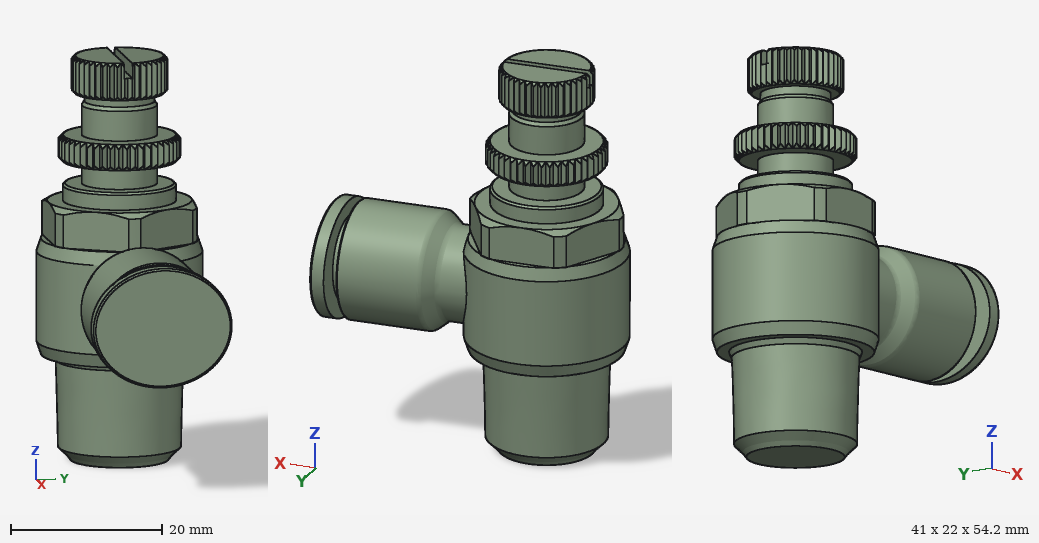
import cadquery as cq
import math

LIP_TOP_Z = 0.65
THREAD_CHAMFER_TOP_Z = 1.75
THREAD_TOP_Z = 13.4
BODY_BOTTOM_Z = 14.2
BODY_TOP_Z = 29.7
HEX_TOP_Z = 34.8
COLLAR_TOP_Z = 37.1
RING_BOTTOM_Z = 40.1
RING_TOP_Z = 43.6
STEM_SHOULDER_Z = 47.6
NECK_BOTTOM_Z = 48.1
HEAD_BOTTOM_Z = 49.2
HEAD_TOP_Z = 54.2

LIP_BOTTOM_RADIUS = 6.5
LIP_TOP_RADIUS = 7.0
THREAD_TIP_RADIUS = 8.15
THREAD_TOP_RADIUS = 8.45
RELIEF_RADIUS = 8.8

BODY_RADIUS = 11.0
BODY_CHAMFER_RADIAL = 0.6
BODY_CHAMFER_AXIAL = 1.75

HEX_ACROSS_FLATS = 19.1
HEX_CORNER_RADIUS = 10.58
HEX_CHAMFER_AXIAL = 0.65

COLLAR_RADIUS = 7.5
COLLAR_CHAMFER = 0.3
STEM_RADIUS = 5.0
NECK_RADIUS = 4.65
RING_RADIUS = 8.08
RING_TEETH = 46
RING_CHAMFER = 0.6
HEAD_RADIUS = 6.35
HEAD_TEETH = 40
HEAD_CHAMFER = 0.5
KNURL_EXTRA_DEPTH = 0.02
SLOT_WIDTH = 1.1
SLOT_DEPTH = 2.0

BRANCH_Z = 23.0
BRANCH_NECK_RADIUS = 6.5
BRANCH_RADIUS = 8.15
BRANCH_CONE_START_X = 13.05
BRANCH_CONE_END_X = 15.05
BRANCH_END_X = 26.7
BRANCH_CONE_FILLET = 1.0
BRANCH_END_CHAMFER = 0.2
SLEEVE_RADIUS = 5.85
FLANGE_START_X = 28.0
FLANGE_END_X = 30.0
FLANGE_WIDTH_Y = 18.6
FLANGE_HEIGHT_Z = 16.0
FLANGE_CHAMFER = 0.25


def turned(profile):
    """Revolve a list of (radius, z) points, closed onto the axis, around Z."""
    points = [(0, profile[0][1])] + profile + [(0, profile[-1][1])]
    return cq.Workplane("XZ").polyline(points).close().revolve(360, (0, 0), (0, 1))


def disc(radius, bottom, top):
    return cq.Workplane("XY").workplane(offset=bottom).circle(radius).extrude(top - bottom)


def make_body():
    """Threaded end and round body as one turned piece."""
    body_end_radius = BODY_RADIUS - BODY_CHAMFER_RADIAL
    return turned([
        (LIP_BOTTOM_RADIUS, 0),
        (LIP_TOP_RADIUS, LIP_TOP_Z),
        (THREAD_TIP_RADIUS, THREAD_CHAMFER_TOP_Z),
        (THREAD_TOP_RADIUS, THREAD_TOP_Z),
        (RELIEF_RADIUS, BODY_BOTTOM_Z),
        (body_end_radius, BODY_BOTTOM_Z),
        (BODY_RADIUS, BODY_BOTTOM_Z + BODY_CHAMFER_AXIAL),
        (BODY_RADIUS, BODY_TOP_Z - BODY_CHAMFER_AXIAL),
        (body_end_radius, BODY_TOP_Z),
    ])


def make_hexagon():
    """Hexagon with flats facing +Y and -Y, corners turned and top edge chamfered."""
    across_corners = HEX_ACROSS_FLATS / math.cos(math.radians(30))
    prism = (
        cq.Workplane("XY")
        .workplane(offset=BODY_TOP_Z)
        .polygon(6, across_corners)
        .extrude(HEX_TOP_Z - BODY_TOP_Z)
    )
    envelope = turned([
        (HEX_CORNER_RADIUS, BODY_TOP_Z),
        (HEX_CORNER_RADIUS, HEX_TOP_Z - HEX_CHAMFER_AXIAL),
        (HEX_ACROSS_FLATS / 2, HEX_TOP_Z),
    ])
    return prism.intersect(envelope)


def make_stem():
    """Collar and stem up to the underside of the head."""
    collar = disc(COLLAR_RADIUS, HEX_TOP_Z, COLLAR_TOP_Z).faces(">Z").chamfer(COLLAR_CHAMFER)
    stem = turned([
        (STEM_RADIUS, COLLAR_TOP_Z),
        (STEM_RADIUS, STEM_SHOULDER_Z),
        (NECK_RADIUS, NECK_BOTTOM_Z),
        (NECK_RADIUS, HEAD_BOTTOM_Z),
    ])
    return collar.union(stem)


def make_knurled_disc(radius, teeth, chamfer, bottom, top):
    """Disc with pointed teeth, a valley on +X, and both rims chamfered."""
    root_radius = radius - chamfer - KNURL_EXTRA_DEPTH
    outline = []
    for step in range(2 * teeth):
        angle = math.pi * step / teeth
        reach = radius if step % 2 else root_radius
        outline.append((reach * math.cos(angle), reach * math.sin(angle)))
    star = (
        cq.Workplane("XY")
        .workplane(offset=bottom)
        .polyline(outline)
        .close()
        .extrude(top - bottom)
    )
    envelope = turned([
        (radius - chamfer, bottom),
        (radius, bottom + chamfer),
        (radius, top - chamfer),
        (radius - chamfer, top),
    ])
    return star.intersect(envelope)


def make_head():
    """Knurled screw head with a screwdriver slot along X."""
    head = make_knurled_disc(HEAD_RADIUS, HEAD_TEETH, HEAD_CHAMFER, HEAD_BOTTOM_Z, HEAD_TOP_Z)
    slot = (
        cq.Workplane("XY")
        .workplane(offset=HEAD_TOP_Z - SLOT_DEPTH)
        .rect(2 * BODY_RADIUS, SLOT_WIDTH)
        .extrude(SLOT_DEPTH)
    )
    return head.cut(slot)


def make_branch():
    """Side tube socket with its release sleeve and oval flange."""
    profile = [
        (0, 0),
        (0, BRANCH_NECK_RADIUS),
        (BRANCH_CONE_START_X, BRANCH_NECK_RADIUS),
        (BRANCH_CONE_END_X, BRANCH_RADIUS),
        (BRANCH_END_X, BRANCH_RADIUS),
        (BRANCH_END_X, 0),
    ]
    socket = (
        cq.Workplane("XY")
        .polyline(profile)
        .close()
        .revolve(360, (0, 0), (1, 0))
        .faces("%CONE")
        .edges("%CIRCLE")
        .fillet(BRANCH_CONE_FILLET)
        .faces(">X")
        .chamfer(BRANCH_END_CHAMFER)
    )
    sleeve = (
        cq.Workplane("YZ")
        .workplane(offset=BRANCH_END_X)
        .circle(SLEEVE_RADIUS)
        .extrude(FLANGE_START_X - BRANCH_END_X)
    )
    flange = (
        cq.Workplane("YZ")
        .workplane(offset=FLANGE_START_X)
        .ellipse(FLANGE_WIDTH_Y / 2, FLANGE_HEIGHT_Z / 2)
        .extrude(FLANGE_END_X - FLANGE_START_X)
        .faces(">X")
        .chamfer(FLANGE_CHAMFER)
    )
    return socket.union(sleeve).union(flange).translate((0, 0, BRANCH_Z))


ring = make_knurled_disc(RING_RADIUS, RING_TEETH, RING_CHAMFER, RING_BOTTOM_Z, RING_TOP_Z)

result = (
    make_body()
    .union(make_branch())
    .union(make_hexagon())
    .union(make_stem())
    .union(ring)
    .union(make_head())
)